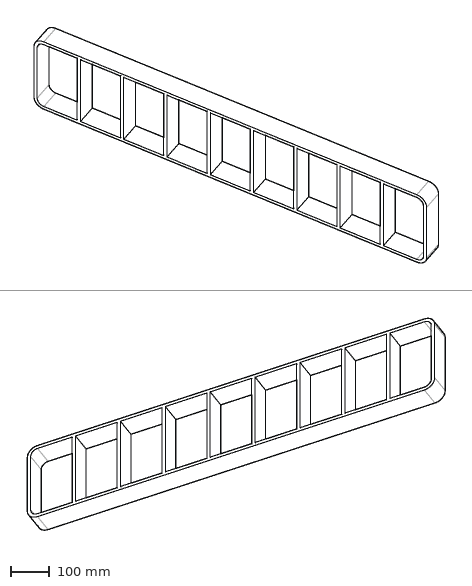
import cadquery as cq

CELL_COUNT = 9
CELL_WIDTH = 120.5
FRAME_HEIGHT = 238.0
FRAME_DEPTH = 60.0
WALL = 10.0
OUTER_RADIUS = 30.0

PITCH = CELL_WIDTH + WALL
FRAME_LENGTH = CELL_COUNT * PITCH + WALL
INNER_LENGTH = FRAME_LENGTH - 2 * WALL
INNER_HEIGHT = FRAME_HEIGHT - 2 * WALL
INNER_RADIUS = OUTER_RADIUS - WALL


def rounded_block(length, height, radius):
    """Block centred on the origin, with its four Y-parallel edges rounded."""
    return cq.Workplane("XY").box(length, FRAME_DEPTH, height).edges("|Y").fillet(radius)


def ring():
    """Rounded rectangular frame of constant wall thickness, open along Y."""
    outside = rounded_block(FRAME_LENGTH, FRAME_HEIGHT, OUTER_RADIUS)
    opening = rounded_block(INNER_LENGTH, INNER_HEIGHT, INNER_RADIUS)
    return outside.cut(opening)


def divider(x_position):
    """Full-depth upright that reaches half a wall into the top and bottom rails."""
    divider_height = FRAME_HEIGHT - WALL
    return cq.Workplane("XY").box(WALL, FRAME_DEPTH, divider_height).translate((x_position, 0, 0))


result = ring()
for index in range(1, CELL_COUNT):
    result = result.union(divider((index - CELL_COUNT / 2) * PITCH))